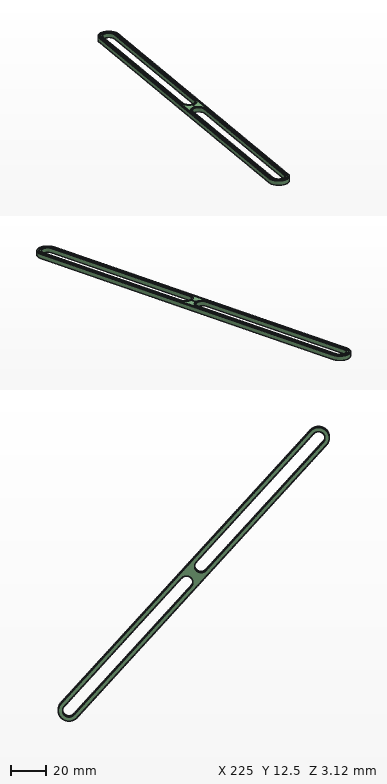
import cadquery as cq

LENGTH = 225.0
WIDTH = 12.5
THICKNESS = WIDTH / 4
RAIL_WIDTH = 2.75
NECK_WIDTH = 2 * RAIL_WIDTH
EDGE_CHAMFER = 0.3
RIM_WIDTH = 1.1
RECESS_DEPTH = 0.2
RIB_LENGTH = 2.6
RIB_WIDTH = 0.2

SLOT_WIDTH = WIDTH - 2 * RAIL_WIDTH
SLOT_LENGTH = (LENGTH - NECK_WIDTH) / 2 - RAIL_WIDTH
SLOT_OFFSET = (NECK_WIDTH + SLOT_LENGTH) / 2


def frame_layer(inset, height):
    """Round-ended frame with two slots, every wall pulled in by inset, standing on Z = 0."""
    bar = cq.Workplane("XY").slot2D(LENGTH - 2 * inset, WIDTH - 2 * inset)
    slots = (
        cq.Workplane("XY")
        .pushPoints([(-SLOT_OFFSET, 0), (SLOT_OFFSET, 0)])
        .slot2D(SLOT_LENGTH + 2 * inset, SLOT_WIDTH + 2 * inset)
    )
    return bar.extrude(height).cut(slots.extrude(height))


def body():
    """Full-thickness frame with every top and bottom edge chamfered."""
    return frame_layer(0, THICKNESS).faces("|Z").edges().chamfer(EDGE_CHAMFER)


def recess():
    """Sunken floor between the rims, with a thin rib standing on it at the neck."""
    rib = cq.Workplane("XY").box(RIB_LENGTH, RIB_WIDTH, 2 * RECESS_DEPTH)
    return frame_layer(RIM_WIDTH, RECESS_DEPTH).cut(rib)


recess_floor = THICKNESS - RECESS_DEPTH
frame = body().cut(recess().translate((0, 0, recess_floor)))
result = frame.translate((0, 0, -THICKNESS / 2))